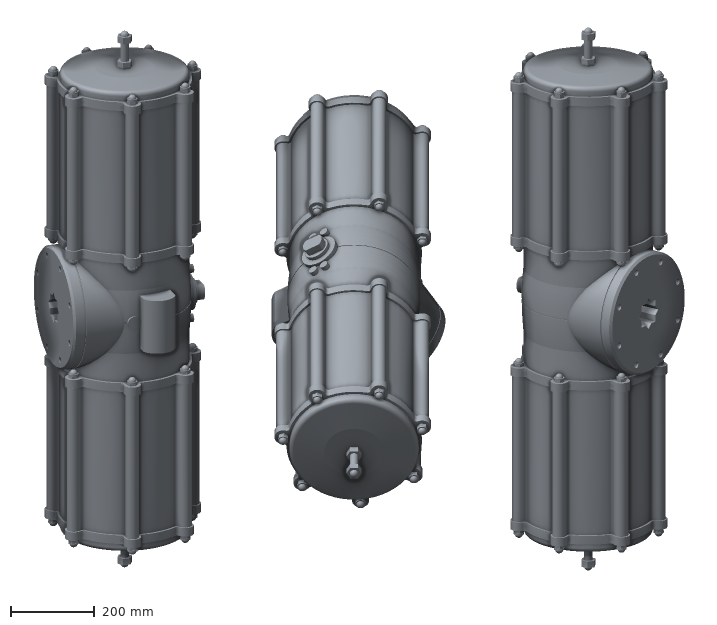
import cadquery as cq
import math

LENGTH = 1370.0
HALF_LENGTH = LENGTH / 2

HOUSING_DIA = 310.0
HOUSING_RADIUS = HOUSING_DIA / 2
BAND_HALF_HEIGHT = 81.0
BAND_RADIUS = 159.0
BAND_GROOVE_WIDTH = 4.0
BAND_GROOVE_DEPTH = 1.0

FACE_DIA = 300.0
FACE_Y = -180.0
FACE_PLATE_THICKNESS = 27.0
FACE_CHAMFER = 5.0
SEAM_WIDTH = 4.0
SEAM_DEPTH = 2.0
FACE_HOLE_COUNT = 8
FACE_HOLE_DIA = 15.0
FACE_HOLE_CIRCLE_RADIUS = 126.0
FACE_HOLE_DEPTH = 27.0

FLANGE_INNER_Z = 153.0
FLANGE_THICKNESS = 22.0
FLANGE_OUTER_Z = 565.0
FLANGE_RADIUS = 162.0
BARREL_RADIUS = 156.0
LOBE_COUNT = 7
LOBE_STEP = 360 / LOBE_COUNT
FIRST_LOBE_ANGLE = 90
TIE_CIRCLE_RADIUS = 171.0
FLANGE_LOBE_RADIUS = 20.0
BARREL_LOBE_RADIUS = 16.0
LOBE_FILLET = 7.0
CORNER_SEARCH = 0.7

HEX_SIDES = 6
NUT_FLATS = 22.0
NUT_COLLAR_DIA = 25.0
NUT_COLLAR_HEIGHT = 4.0
NUT_DOME_RADIUS = 10.0
INNER_HEX_HEIGHT = 5.0
OUTER_HEX_HEIGHT = 10.0

COVER_SHOULDER_Z = 577.0
COVER_EDGE_RADIUS = 11.0
COVER_FLAT_RADIUS = 71.0
COVER_TOP_Z = 593.0

STOP_DIA = 20.0
STOP_NUT_FLATS = 32.0
STOP_NUT_HEIGHT = 16.0
STOP_END_NUT_TOP_Z = 674.0

BOX_HALF_HEIGHT = 67.0
BOX_Y_MIN = -15.0
BOX_Y_MAX = 66.0
BOX_CORNER_X = 181.0
BOX_X_MAX = 207.0

BOSS_DIA = 32.0
BOSS_Y = -30.0
BOSS_X = 159.0

PAD_DIA = 20.0
PAD_X = 15.0
PAD_Z = 63.0
PAD_Y = 167.0

SHAFT_DIA = 92.0
SHAFT_SHOULDER_Y = 166.0
COLLAR_DIA = 62.0
COLLAR_Y = 175.0
HEAD_DIA = 52.0
HEAD_FLATS = 37.0
HEAD_Y = 195.0
SQUARE_SIDE = 55.0
SQUARE_DEPTH = 55.0
SQUARE_TURN = 45


def hexagon(flats, z, height):
    """Hexagon prism along Z with two corners on the Y direction."""
    corner_dia = flats / math.cos(math.pi / HEX_SIDES)
    prism = cq.Workplane("XY", origin=(0, 0, z)).polygon(HEX_SIDES, corner_dia).extrude(height)
    return prism.rotate((0, 0, 0), (0, 0, 1), 180 / HEX_SIDES)


def y_cylinder(dia, y_start, y_end, x=0.0, z=0.0):
    """Cylinder along Y."""
    base = cq.Workplane("XZ", origin=(x, y_start, z))
    return base.circle(dia / 2).extrude(y_start - y_end)


def lobe_angles():
    return [FIRST_LOBE_ANGLE + i * LOBE_STEP for i in range(LOBE_COUNT)]


def lobed_disc(radius, lobe_radius, z, height):
    """Round disc with a rounded lobe round each tie rod, blended into the rim."""
    disc = cq.Workplane("XY", origin=(0, 0, z)).circle(radius).extrude(height)
    lobe_straight = cq.Workplane("XY", origin=(TIE_CIRCLE_RADIUS / 2, 0, z)).rect(
        TIE_CIRCLE_RADIUS, 2 * lobe_radius).extrude(height)
    lobe_end = cq.Workplane("XY", origin=(TIE_CIRCLE_RADIUS, 0, z)).circle(lobe_radius).extrude(height)
    lobe = lobe_straight.union(lobe_end)
    for angle in lobe_angles():
        disc = disc.union(lobe.rotate((0, 0, 0), (0, 0, 1), angle))
    half_width_angle = math.degrees(math.asin(lobe_radius / radius))
    for angle in lobe_angles():
        for corner_angle in (angle - half_width_angle, angle + half_width_angle):
            x = radius * math.cos(math.radians(corner_angle))
            y = radius * math.sin(math.radians(corner_angle))
            low = (x - CORNER_SEARCH, y - CORNER_SEARCH, z)
            high = (x + CORNER_SEARCH, y + CORNER_SEARCH, z + height)
            corner = disc.edges("|Z").edges(cq.selectors.BoxSelector(low, high))
            disc = corner.fillet(LOBE_FILLET)
    return disc


def domed_nut(z, hex_height):
    """Hexagon nut with a thin round collar and a half-round dome, standing on height z."""
    collar_z = z + hex_height
    collar = cq.Workplane("XY", origin=(0, 0, collar_z)).circle(NUT_COLLAR_DIA / 2).extrude(NUT_COLLAR_HEIGHT)
    dome = cq.Workplane("XY").sphere(NUT_DOME_RADIUS).translate((0, 0, collar_z + NUT_COLLAR_HEIGHT))
    return hexagon(NUT_FLATS, z, hex_height).union(collar).union(dome)


def tie_nuts():
    """Outer nuts on the end flange and inner nuts on the housing-side flange."""
    outer = domed_nut(FLANGE_OUTER_Z, OUTER_HEX_HEIGHT)
    inner = domed_nut(0, INNER_HEX_HEIGHT).mirror("XY").translate((0, 0, FLANGE_INNER_Z))
    pair = outer.union(inner).translate((TIE_CIRCLE_RADIUS, 0, 0))
    return [pair.rotate((0, 0, 0), (0, 0, 1), angle) for angle in lobe_angles()]


def end_cover():
    """Slightly conical cover with a rounded rim."""
    rim_top_z = COVER_SHOULDER_Z + COVER_EDGE_RADIUS
    rim_inner = HOUSING_RADIUS - COVER_EDGE_RADIUS
    arc_offset = COVER_EDGE_RADIUS * math.sqrt(0.5)
    profile = (
        cq.Workplane("XZ")
        .moveTo(0, FLANGE_OUTER_Z)
        .lineTo(HOUSING_RADIUS, FLANGE_OUTER_Z)
        .lineTo(HOUSING_RADIUS, COVER_SHOULDER_Z)
        .threePointArc((rim_inner + arc_offset, COVER_SHOULDER_Z + arc_offset), (rim_inner, rim_top_z))
        .lineTo(COVER_FLAT_RADIUS, COVER_TOP_Z)
        .lineTo(0, COVER_TOP_Z)
        .close()
    )
    return profile.revolve(360, (0, 0, 0), (0, 1, 0))


def stop_screw():
    """Round-ended rod with a lock nut on the cover and a second nut near its end."""
    radius = STOP_DIA / 2
    rod = cq.Workplane("XY", origin=(0, 0, COVER_TOP_Z)).circle(radius).extrude(
        HALF_LENGTH - radius - COVER_TOP_Z)
    tip = cq.Workplane("XY").sphere(radius).translate((0, 0, HALF_LENGTH - radius))
    lock_nut = hexagon(STOP_NUT_FLATS, COVER_TOP_Z, STOP_NUT_HEIGHT)
    end_nut = hexagon(STOP_NUT_FLATS, STOP_END_NUT_TOP_Z - STOP_NUT_HEIGHT, STOP_NUT_HEIGHT)
    return rod.union(tip).union(lock_nut).union(end_nut)


def cylinder_unit():
    """Upper cylinder: two flanges, barrel, nuts, cover and stop screw."""
    barrel_z = FLANGE_INNER_Z + FLANGE_THICKNESS
    end_flange_z = FLANGE_OUTER_Z - FLANGE_THICKNESS
    unit = lobed_disc(FLANGE_RADIUS, FLANGE_LOBE_RADIUS, FLANGE_INNER_Z, FLANGE_THICKNESS)
    unit = unit.union(lobed_disc(BARREL_RADIUS, BARREL_LOBE_RADIUS, barrel_z, end_flange_z - barrel_z))
    unit = unit.union(lobed_disc(FLANGE_RADIUS, FLANGE_LOBE_RADIUS, end_flange_z, FLANGE_THICKNESS))
    for nut in tie_nuts():
        unit = unit.union(nut)
    return unit.union(end_cover()).union(stop_screw())


def centre_barrel():
    """Round housing along Z with a bulged band and a fine groove round its middle."""
    profile = (
        cq.Workplane("XZ")
        .moveTo(0, -FLANGE_INNER_Z)
        .lineTo(HOUSING_RADIUS, -FLANGE_INNER_Z)
        .lineTo(HOUSING_RADIUS, -BAND_HALF_HEIGHT)
        .threePointArc((BAND_RADIUS, 0), (HOUSING_RADIUS, BAND_HALF_HEIGHT))
        .lineTo(HOUSING_RADIUS, FLANGE_INNER_Z)
        .lineTo(0, FLANGE_INNER_Z)
        .close()
    )
    barrel = profile.revolve(360, (0, 0, 0), (0, 1, 0))
    groove = (
        cq.Workplane("XY", origin=(0, 0, -BAND_GROOVE_WIDTH / 2))
        .circle(BAND_RADIUS + BAND_GROOVE_DEPTH)
        .circle(BAND_RADIUS - BAND_GROOVE_DEPTH)
        .extrude(BAND_GROOVE_WIDTH)
    )
    return barrel.cut(groove)


def mounting_face():
    """Round face block on -Y with a chamfered rim and a seam groove."""
    block = y_cylinder(FACE_DIA, FACE_Y, 0).faces("<Y").chamfer(FACE_CHAMFER)
    seam_y = FACE_Y + FACE_PLATE_THICKNESS
    seam = y_cylinder(FACE_DIA + SEAM_DEPTH, seam_y, seam_y + SEAM_WIDTH).cut(
        y_cylinder(FACE_DIA - 2 * SEAM_DEPTH, seam_y, seam_y + SEAM_WIDTH))
    return block.cut(seam)


def face_holes():
    step = 360 / FACE_HOLE_COUNT
    holes = cq.Workplane("XZ", origin=(0, FACE_Y, 0)).polarArray(
        FACE_HOLE_CIRCLE_RADIUS, step / 2, 360, FACE_HOLE_COUNT)
    return holes.circle(FACE_HOLE_DIA / 2).extrude(-FACE_HOLE_DEPTH)


def side_box():
    """Box on +X whose outer wall is an arc."""
    mid_y = (BOX_Y_MIN + BOX_Y_MAX) / 2
    outline = (
        cq.Workplane("XY", origin=(0, 0, -BOX_HALF_HEIGHT))
        .moveTo(0, BOX_Y_MIN)
        .lineTo(BOX_CORNER_X, BOX_Y_MIN)
        .threePointArc((BOX_X_MAX, mid_y), (BOX_CORNER_X, BOX_Y_MAX))
        .lineTo(0, BOX_Y_MAX)
        .close()
    )
    return outline.extrude(2 * BOX_HALF_HEIGHT)


def side_boss():
    return cq.Workplane("YZ", origin=(0, BOSS_Y, 0)).circle(BOSS_DIA / 2).extrude(BOSS_X)


def build_housing():
    upper = cylinder_unit()
    housing = centre_barrel().union(mounting_face()).union(side_box()).union(side_boss())
    for x in (-PAD_X, PAD_X):
        for z in (-PAD_Z, PAD_Z):
            housing = housing.union(y_cylinder(PAD_DIA, 0, PAD_Y, x, z))
    housing = housing.union(upper).union(upper.mirror("XY"))
    shaft_bore = y_cylinder(SHAFT_DIA, FACE_Y, SHAFT_SHOULDER_Y)
    return housing.cut(face_holes()).cut(shaft_bore)


def double_square_socket():
    """Eight-pointed socket made of two squares turned against each other."""
    square = cq.Workplane("XZ", origin=(0, FACE_Y, 0)).rect(SQUARE_SIDE, SQUARE_SIDE).extrude(-SQUARE_DEPTH)
    return square.union(square.rotate((0, 0, 0), (0, 1, 0), SQUARE_TURN))


def build_shaft():
    """Drive shaft with a socket in its -Y end and a flatted head on its +Y end."""
    shaft = y_cylinder(SHAFT_DIA, FACE_Y, SHAFT_SHOULDER_Y)
    collar = y_cylinder(COLLAR_DIA, SHAFT_SHOULDER_Y, COLLAR_Y)
    head = y_cylinder(HEAD_DIA, COLLAR_Y, HEAD_Y)
    flats = cq.Workplane("XY").box(2 * HEAD_DIA, 2 * HEAD_Y, HEAD_FLATS)
    return shaft.union(collar).union(head.intersect(flats)).cut(double_square_socket())


housing = build_housing()
shaft = build_shaft()

result = cq.Compound.makeCompound([housing.val(), shaft.val()])